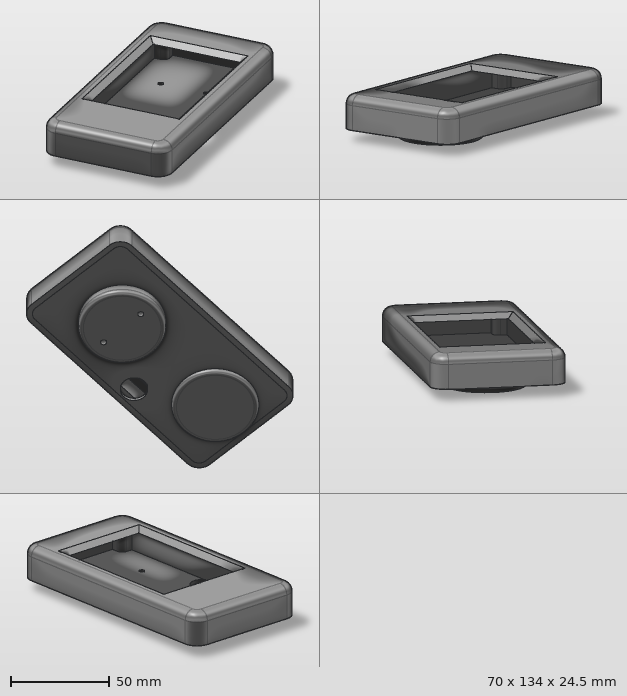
import cadquery as cq

length_x = 70.0
length_y = 134.0
housing_height = 18.0
corner_radius = 8.0
top_edge_radius = 5.0
wall = 6.5
top_thickness = 3.0

window_x = 55.0
window_y = 81.0
window_center_y = 6.25

post_radius = 3.5
post_size = 2 * post_radius

plate_thickness = 2.0
rim = 3.0
plate_x = length_x - 2 * rim
plate_y = length_y - 2 * rim
plate_corner_radius = corner_radius - rim

foot_diameter = 44.5
foot_edge_radius = 2.5
rear_foot_y = 28.25
front_foot_y = -41.75
rear_foot_height = 6.5
front_foot_height = foot_edge_radius

cable_hole_diameter = 14.0
cable_hole_x = 24.0
cable_hole_y = (rear_foot_y + front_foot_y) / 2
screw_hole_diameter = 3.0
screw_hole_spacing = 25.7

cavity_x = length_x - 2 * wall
cavity_y = length_y - 2 * wall
cavity_top = housing_height - top_thickness


def rounded_block(size_x, size_y, height, radius):
    """Block standing on Z = 0 with rounded vertical edges."""
    block = cq.Workplane("XY").rect(size_x, size_y).extrude(height)
    return block.edges("|Z").fillet(radius)


def make_corner_post(side_x, side_y):
    """Square post in one corner of the cavity, rounded on its inward edge."""
    center_x = side_x * (cavity_x / 2 - post_radius)
    center_y = side_y * (cavity_y / 2 - post_radius)
    inward_face = "<X" if side_x > 0 else ">X"
    inward_edge = "<Y" if side_y > 0 else ">Y"
    post = (
        cq.Workplane("XY", origin=(center_x, center_y, plate_thickness))
        .rect(post_size, post_size)
        .extrude(cavity_top - plate_thickness)
    )
    return post.faces(inward_face).edges(inward_edge).fillet(post_radius)


def make_cavity():
    """Hollow of the housing, left solid where the corner posts stand."""
    cavity = (
        cq.Workplane("XY", origin=(0, 0, plate_thickness))
        .rect(cavity_x, cavity_y)
        .extrude(cavity_top - plate_thickness)
    )
    for side_x in (-1, 1):
        for side_y in (-1, 1):
            cavity = cavity.cut(make_corner_post(side_x, side_y))
    return cavity


def make_window():
    """Opening through the top, narrowing downward."""
    return (
        cq.Workplane("XY", origin=(0, window_center_y, housing_height))
        .rect(window_x, window_y)
        .workplane(offset=-top_thickness)
        .rect(window_x - 2 * top_thickness, window_y - 2 * top_thickness)
        .loft(ruled=True)
    )


def make_housing():
    body = rounded_block(length_x, length_y, housing_height, corner_radius)
    body = body.faces(">Z").edges().fillet(top_edge_radius)
    rebate = rounded_block(plate_x, plate_y, plate_thickness, plate_corner_radius)
    return body.cut(rebate).cut(make_cavity()).cut(make_window())


def make_foot(center_y, height):
    """Disc hanging below Z = 0, its lower rim rounded."""
    radius = foot_diameter / 2
    profile = cq.Workplane("XZ", origin=(0, center_y, 0)).lineTo(radius, 0)
    if height > foot_edge_radius:
        profile = profile.lineTo(radius, foot_edge_radius - height)
    profile = profile.radiusArc((radius - foot_edge_radius, -height), foot_edge_radius)
    return profile.lineTo(0, -height).close().revolve(360, (0, 0), (0, 1))


def make_back_plate():
    plate = rounded_block(plate_x, plate_y, plate_thickness, plate_corner_radius)
    plate = plate.union(make_foot(rear_foot_y, rear_foot_height))
    plate = plate.union(make_foot(front_foot_y, front_foot_height))
    cable_hole = (
        cq.Workplane("XY", origin=(cable_hole_x, cable_hole_y, 0))
        .circle(cable_hole_diameter / 2)
        .extrude(plate_thickness)
    )
    screw_holes = (
        cq.Workplane("XY", origin=(0, rear_foot_y, -rear_foot_height))
        .rarray(screw_hole_spacing, 1, 2, 1)
        .circle(screw_hole_diameter / 2)
        .extrude(rear_foot_height + plate_thickness)
    )
    return plate.cut(cable_hole).cut(screw_holes)


housing = make_housing()
back_plate = make_back_plate()

result = cq.Compound.makeCompound([housing.val(), back_plate.val()])